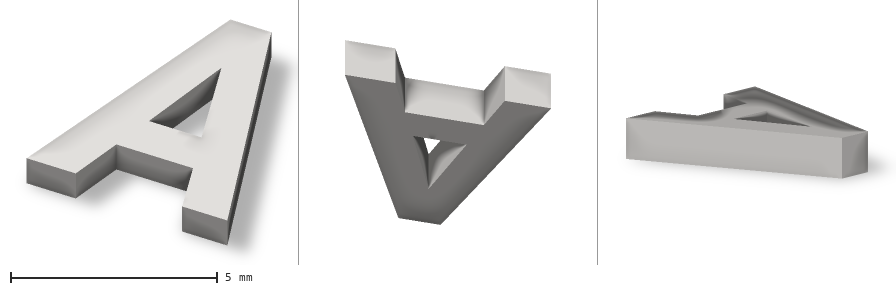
import cadquery as cq

width = 5.21
height = 5.72
thickness = 1.0

top_left_x = 3.06
top_right_x = 4.125

left_foot_inner_x = 1.275
right_foot_inner_x = 4.04

crossbar_bottom_y = 1.18
crossbar_left_x = 1.87
crossbar_right_x = 3.86

crossbar_top_y = 2.13
opening_left_x = 2.345
opening_right_x = 3.71
opening_apex = (3.39, 4.27)

outline = [
    (0, 0),
    (left_foot_inner_x, 0),
    (crossbar_left_x, crossbar_bottom_y),
    (crossbar_right_x, crossbar_bottom_y),
    (right_foot_inner_x, 0),
    (width, 0),
    (top_right_x, height),
    (top_left_x, height),
]

opening = [
    (opening_left_x, crossbar_top_y),
    (opening_right_x, crossbar_top_y),
    opening_apex,
]

result = (
    cq.Workplane("XY")
    .polyline(outline).close()
    .polyline(opening).close()
    .extrude(thickness)
)